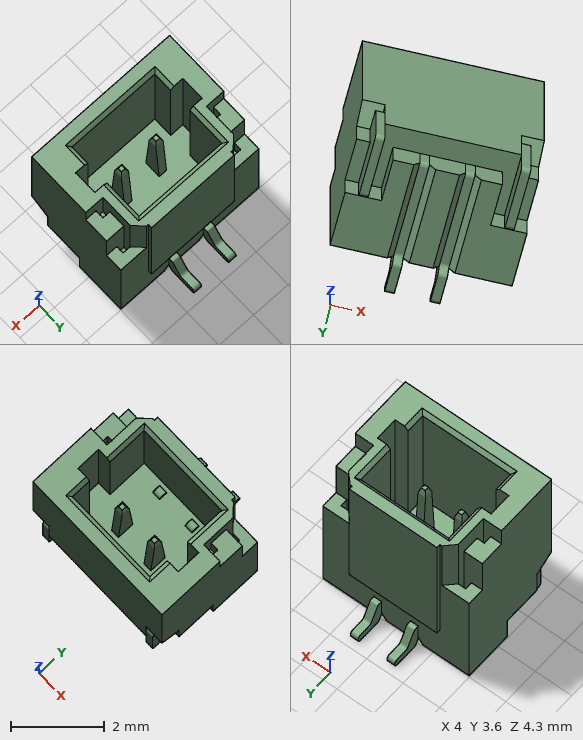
import cadquery as cq
import math


BODY_WIDTH = 4.0
BODY_DEPTH = 2.8
TOP_Z = 4.3
STANDOFF = 0.05
WAIST_HALF = 1.5

CAVITY_HALF = 1.2
CAVITY_FRONT_Y = 0.4
CAVITY_BACK_Y = 2.503
CAVITY_FLOOR_Z = 1.05
RIM_CHAMFER = 0.1
KEY_HALF = 1.552
KEY_SLOT_WIDTH = 0.6

RIB_HEIGHT = 0.1

LOW_STEP_Y = 2.35
LOW_STEP_DROP = 1.5
HIGH_STEP_Y = 1.7
HIGH_STEP_DROP = 0.5
CORNER_CHAMFER = 0.25

POCKET_LENGTH = 0.198
POCKET_DEPTH = 0.5
POCKET_DRAFT = 0.017

TAB_THICKNESS = 0.2
TAB_ARM_LENGTH = 1.5
TAB_ARM_TOP_Z = 0.65
TAB_LEG_DEPTH = 0.5
TAB_LEG_TOP_Z = 1.25
TAB_RADIUS = 0.1
RECESS_FRONT_Z = 1.55

PITCH = 1.0
CONTACT_X = (-PITCH / 2, PITCH / 2)
STOCK = 0.21
BASE_TOP_Z = TAB_ARM_TOP_Z
BASE_FRONT_Y = TAB_LEG_DEPTH
TAIL_END_Y = 3.6
TAIL_ANGLE = math.radians(60)
TAIL_TOP_BEND_Y = 2.92
TAIL_HEEL_Y = 2.895
BEND_RADIUS = 0.1
TOP_BEND_RADIUS = 0.047
PIN_Y = 1.2
PIN_TOP_Z = 3.05
PIN_ROOT_LENGTH = 0.42
TIP_INSET = 0.05
TIP_HEIGHT = 0.17
BARB_Y = 2.3

CHANNEL_HALF = 0.24


def box(x_min, x_max, y_min, y_max, z_min, z_max):
    """Block between the given limits."""
    size = (x_max - x_min, y_max - y_min, z_max - z_min)
    return cq.Workplane("XY").box(*size, centered=False).translate((x_min, y_min, z_min))


def side_prism(points, x_min, x_max):
    """Prism along X from an outline of (y, z) points."""
    return cq.Workplane("YZ").workplane(offset=x_min).polyline(points).close().extrude(x_max - x_min)


def both_sides(shape):
    """A feature together with its mirror image across X = 0."""
    return shape.union(shape.mirror("YZ"))


def round_corners(shape, corners, radius):
    """Round the X-direction edges that pass through the (y, z) corners."""
    x_mid = shape.val().BoundingBox().center.x
    for y, z in corners:
        corner = cq.NearestToPointSelector((x_mid, y, z))
        shape = shape.edges("|X").edges(corner).fillet(radius)
    return shape



def contact_base_and_tail():
    """Flat base under the housing with a tail bent down to the standing plane."""
    run = 1 / math.tan(TAIL_ANGLE)
    front_corner = (BASE_FRONT_Y, STOCK)
    inner_bend = (TAIL_HEEL_Y - STOCK * run, STOCK)
    heel = (TAIL_HEEL_Y, 0)
    toe_bottom = (TAIL_END_Y, 0)
    toe_top = (TAIL_END_Y, STOCK)
    outer_bend = (TAIL_TOP_BEND_Y + (BASE_TOP_Z - STOCK) * run, STOCK)
    top_bend = (TAIL_TOP_BEND_Y, BASE_TOP_Z)
    top_front = (BASE_FRONT_Y, BASE_TOP_Z)
    outline = [front_corner, inner_bend, heel, toe_bottom, toe_top, outer_bend, top_bend, top_front]
    blank = side_prism(outline, -STOCK / 2, STOCK / 2)
    rounded = [front_corner, inner_bend, heel, toe_bottom, toe_top, outer_bend]
    blank = round_corners(blank, rounded, BEND_RADIUS)
    return round_corners(blank, [top_bend], TOP_BEND_RADIUS)


def contact_pin():
    """Upright pin that tapers from the cavity floor up to a blunt pyramid tip."""
    half = STOCK / 2
    root = PIN_ROOT_LENGTH / 2
    tip_base_z = PIN_TOP_Z - TIP_HEIGHT
    outline = [
        (PIN_Y - root, BASE_TOP_Z),
        (PIN_Y + root, BASE_TOP_Z),
        (PIN_Y + root, CAVITY_FLOOR_Z),
        (PIN_Y + half, tip_base_z),
        (PIN_Y - half, tip_base_z),
        (PIN_Y - root, CAVITY_FLOOR_Z),
    ]
    shank = side_prism(outline, -half, half)
    tip_taper = math.degrees(math.atan2(TIP_INSET, TIP_HEIGHT))
    tip = cq.Workplane("XY", origin=(0, PIN_Y, tip_base_z)).rect(STOCK, STOCK)
    return shank.union(tip.extrude(TIP_HEIGHT, taper=tip_taper))


def contact_barb():
    """Holding post with a half-round top that stands just above the cavity floor."""
    half = STOCK / 2
    return (
        cq.Workplane("YZ")
        .workplane(offset=-half)
        .moveTo(BARB_Y - half, BASE_TOP_Z)
        .lineTo(BARB_Y + half, BASE_TOP_Z)
        .lineTo(BARB_Y + half, CAVITY_FLOOR_Z)
        .threePointArc((BARB_Y, CAVITY_FLOOR_Z + half), (BARB_Y - half, CAVITY_FLOOR_Z))
        .close()
        .extrude(STOCK)
    )


def make_contact(x):
    contact = contact_base_and_tail().union(contact_pin()).union(contact_barb())
    return contact.translate((x, 0, 0))



def make_tab(side):
    """L-shaped plate; side is -1 or 1."""
    heel = (TAB_ARM_LENGTH, 0)
    toe = (0, 0)
    leg_tip = (0, TAB_LEG_TOP_Z)
    outline = [
        toe,
        heel,
        (TAB_ARM_LENGTH, TAB_ARM_TOP_Z),
        (TAB_LEG_DEPTH, TAB_ARM_TOP_Z),
        (TAB_LEG_DEPTH, TAB_LEG_TOP_Z),
        leg_tip,
    ]
    x_min = side * (WAIST_HALF + TAB_THICKNESS / 2) - TAB_THICKNESS / 2
    plate = side_prism(outline, x_min, x_min + TAB_THICKNESS)
    return round_corners(plate, [toe, heel, leg_tip], TAB_RADIUS)



def housing_block():
    """Outer block with the rib on its back wall."""
    half = BODY_WIDTH / 2
    block = box(-half, half, 0, BODY_DEPTH, STANDOFF, TOP_Z)
    rib_back = BODY_DEPTH + RIB_HEIGHT
    rib = box(-CAVITY_HALF, CAVITY_HALF, CAVITY_BACK_Y, rib_back, CAVITY_FLOOR_Z, TOP_Z)
    return block.union(rib)


def cavity():
    """Plug opening with a chamfered rim and a plain key slot on each side."""
    length = CAVITY_BACK_Y - CAVITY_FRONT_Y
    middle_y = (CAVITY_BACK_Y + CAVITY_FRONT_Y) / 2
    opening = box(-CAVITY_HALF, CAVITY_HALF, CAVITY_FRONT_Y, CAVITY_BACK_Y, CAVITY_FLOOR_Z, TOP_Z)
    rim = cq.Workplane("XY", origin=(0, middle_y, TOP_Z))
    rim = rim.rect(2 * (CAVITY_HALF + RIM_CHAMFER), length + 2 * RIM_CHAMFER)
    rim = rim.extrude(-RIM_CHAMFER, taper=45)
    slot_half = KEY_SLOT_WIDTH / 2
    key_slots = box(-KEY_HALF, KEY_HALF, PIN_Y - slot_half, PIN_Y + slot_half, CAVITY_FLOOR_Z, TOP_Z)
    return opening.union(rim).union(key_slots)


def back_corner_notch():
    """Two-step notch with a chamfered inner corner, on the +X side."""
    half = BODY_WIDTH / 2
    low_z = TOP_Z - LOW_STEP_DROP
    high_step = box(WAIST_HALF, half, HIGH_STEP_Y, BODY_DEPTH, TOP_Z - HIGH_STEP_DROP, TOP_Z)
    low_step = box(WAIST_HALF, half, LOW_STEP_Y, BODY_DEPTH, low_z, TOP_Z)
    chamfer = (
        cq.Workplane("XY", origin=(0, 0, low_z))
        .moveTo(WAIST_HALF, BODY_DEPTH - CORNER_CHAMFER)
        .lineTo(WAIST_HALF, BODY_DEPTH)
        .lineTo(WAIST_HALF - CORNER_CHAMFER, BODY_DEPTH)
        .close()
        .extrude(LOW_STEP_DROP)
    )
    return high_step.union(low_step).union(chamfer)


def tread_pockets():
    """Square pocket in each tread of the notch, on the +X side."""
    outer = WAIST_HALF + TAB_THICKNESS
    low_z = TOP_Z - LOW_STEP_DROP
    low = box(WAIST_HALF, outer, LOW_STEP_Y, LOW_STEP_Y + POCKET_LENGTH, low_z - POCKET_DEPTH, low_z)
    high_z = TOP_Z - HIGH_STEP_DROP
    high_outline = [
        (HIGH_STEP_Y, high_z),
        (HIGH_STEP_Y, high_z - POCKET_DEPTH),
        (HIGH_STEP_Y + POCKET_LENGTH, high_z - POCKET_DEPTH),
        (HIGH_STEP_Y + POCKET_LENGTH + POCKET_DRAFT, high_z),
    ]
    return low.union(side_prism(high_outline, WAIST_HALF, outer))


def tab_recess():
    """Lower front corner recess with a sloping roof, on the +X side."""
    outline = [
        (0, 0),
        (TAB_ARM_LENGTH, 0),
        (TAB_ARM_LENGTH, TAB_ARM_TOP_Z),
        (TAB_LEG_DEPTH, TAB_ARM_TOP_Z),
        (TAB_LEG_DEPTH, TAB_LEG_TOP_Z),
        (0, RECESS_FRONT_Z),
    ]
    return side_prism(outline, WAIST_HALF, BODY_WIDTH / 2)


def underside_relief():
    """Space under the front wall, running back along both sides of the central foot."""
    front = box(-WAIST_HALF, WAIST_HALF, 0, TAB_LEG_DEPTH, 0, TAB_ARM_TOP_Z)
    side = box(CAVITY_HALF, WAIST_HALF, 0, TAB_ARM_LENGTH, 0, TAB_ARM_TOP_Z)
    return front.union(both_sides(side))


def contact_channel(x):
    """Flared channel along the underside, below one contact."""
    half = STOCK / 2
    return (
        cq.Workplane("XZ", origin=(x, 0, 0))
        .moveTo(-CHANNEL_HALF, STANDOFF)
        .lineTo(CHANNEL_HALF, STANDOFF)
        .lineTo(half, STOCK)
        .lineTo(-half, STOCK)
        .close()
        .extrude(-BODY_DEPTH)
    )


def contact_front_gap(x):
    """Clearance ahead of the rounded front corner of one contact."""
    half = STOCK / 2
    return box(x - half, x + half, BASE_FRONT_Y, BASE_FRONT_Y + BEND_RADIUS, STOCK, STOCK + BEND_RADIUS)


def make_housing(contacts):
    housing = housing_block().cut(cavity()).cut(underside_relief())
    for feature in (back_corner_notch(), tread_pockets(), tab_recess()):
        housing = housing.cut(both_sides(feature))
    for x in CONTACT_X:
        housing = housing.cut(contact_channel(x)).cut(contact_front_gap(x))
    for contact in contacts:
        housing = housing.cut(contact)
    return housing


contacts = [make_contact(x) for x in CONTACT_X]
tabs = [make_tab(side) for side in (-1, 1)]
housing = make_housing(contacts)

bodies = [housing, *tabs, *contacts]
result = cq.Compound.makeCompound([body.solids().val() for body in bodies])